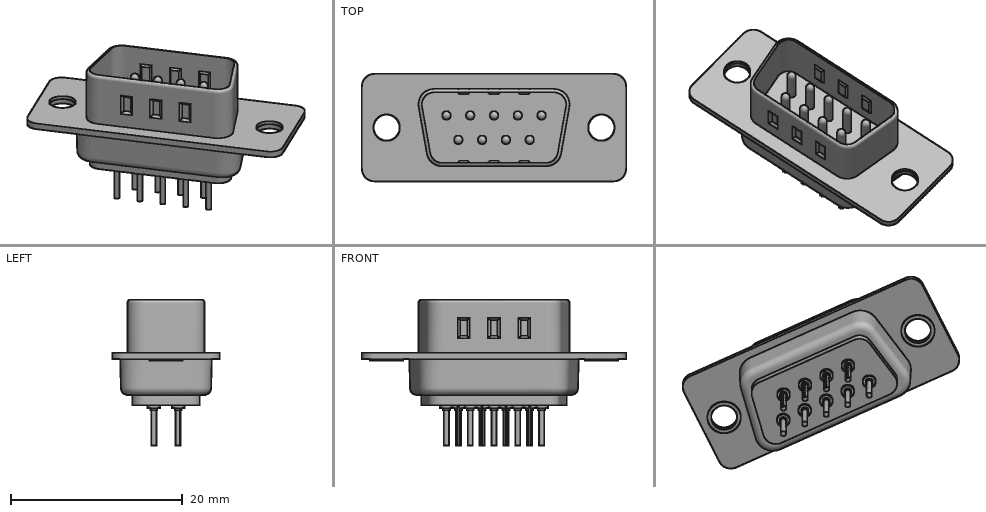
import cadquery as cq
import math

flange_thickness = 0.76
shroud_height = 6.16
rear_shell_height = 4.2
base_height = 1.18
tail_length = 4.7
base_underside = -rear_shell_height - base_height

flange_length = 30.8
flange_width = 12.55
flange_corner_radius = 1.5
mount_spacing = 25.0
upper_sheet_thickness = 0.38
upper_hole_diameter = 3.1
lower_hole_diameter = 3.0
mount_ring_diameter = 3.9
mount_ring_height = 0.2

side_angle = math.radians(10)
shroud_width = 17.6
shroud_depth = 9.0
shroud_corner_radius = 1.8
shroud_wall = 0.4
rim_radius = 0.38

rear_shell_width = 19.76
rear_shell_depth = 10.7
rear_shell_corner_radius = 2.2
rear_shell_draft = 1.4
rear_shell_edge_radius = 0.85

base_width = 16.98
base_depth = 7.9
base_corner_radius = 1.5

dimple_count = 3
dimple_spacing = 3.53
dimple_width = 1.4
dimple_height = 2.4
dimple_center = 2.85
dimple_depth = 0.3
dimple_taper = 45
dimple_bump = 0.22

back_row_count = 5
front_row_count = 4
contact_pitch = 2.77
row_spacing = 2.84
pin_diameter = 1.0
pin_height = 4.05
collar_diameter = 1.5
collar_height = 0.33
neck_diameter = 0.86
neck_height = 0.25
tail_diameter = 0.63
tail_groove_width = 0.2
tail_groove_depth = 0.15
tail_groove_rise = 0.25


def d_outline(plane_z, width, depth, radius):
    """Sketch a rounded trapezoid, wider at +Y, on a horizontal plane."""
    arc_center_x = width / 2 - radius
    wide_half = arc_center_x + radius * math.tan(math.pi / 4 + side_angle / 2)
    narrow_half = wide_half - depth * math.tan(side_angle)
    corners = [
        (-wide_half, depth / 2),
        (wide_half, depth / 2),
        (narrow_half, -depth / 2),
        (-narrow_half, -depth / 2),
    ]
    outline = cq.Sketch().polygon(corners + corners[:1]).vertices().fillet(radius)
    return cq.Workplane("XY").workplane(offset=plane_z).placeSketch(outline)


def centered_positions(count, pitch):
    return [(i - (count - 1) / 2) * pitch for i in range(count)]


def vertical_cylinder(x, y, bottom, height, diameter):
    return cq.Workplane("XY", origin=(x, y, bottom)).circle(diameter / 2).extrude(height)


def make_flange():
    flange = (
        cq.Workplane("XY")
        .rect(flange_length, flange_width)
        .extrude(flange_thickness)
        .edges("|Z")
        .fillet(flange_corner_radius)
    )
    for x in centered_positions(2, mount_spacing):
        ring = vertical_cylinder(x, 0, -mount_ring_height, mount_ring_height, mount_ring_diameter)
        flange = flange.union(ring)
    return flange


def cut_mounting_holes(body):
    sheet_bottom = flange_thickness - upper_sheet_thickness
    for x in centered_positions(2, mount_spacing):
        lower = vertical_cylinder(
            x, 0, -mount_ring_height, mount_ring_height + flange_thickness, lower_hole_diameter
        )
        upper = vertical_cylinder(x, 0, sheet_bottom, upper_sheet_thickness, upper_hole_diameter)
        body = body.cut(lower).cut(upper)
    return body


def make_shroud():
    outer = d_outline(flange_thickness, shroud_width, shroud_depth, shroud_corner_radius)
    outer = outer.extrude(shroud_height).faces(">Z").edges().fillet(rim_radius)
    cavity = d_outline(
        flange_thickness,
        shroud_width - 2 * shroud_wall,
        shroud_depth - 2 * shroud_wall,
        shroud_corner_radius - shroud_wall,
    ).extrude(shroud_height)
    return outer.cut(cavity)


def tapered_block(x, wall_y, inward, width, height, depth, taper):
    """Make a block on a long wall that shrinks as it goes in towards the middle."""
    plane = cq.Plane(
        origin=(x, wall_y, flange_thickness + dimple_center),
        xDir=(1, 0, 0),
        normal=(0, inward, 0),
    )
    return cq.Workplane(plane).rect(width, height).extrude(depth, taper=taper)


def press_dimples(body):
    for inward in (-1, 1):
        outer_y = -inward * shroud_depth / 2
        inner_y = outer_y + inward * shroud_wall
        for x in centered_positions(dimple_count, dimple_spacing):
            bump = tapered_block(
                x, inner_y, inward, dimple_width, dimple_height, dimple_bump, dimple_taper
            )
            pocket = tapered_block(
                x, outer_y, inward, dimple_width, dimple_height, dimple_depth, dimple_taper
            )
            body = body.union(bump).cut(pocket)
    return body


def make_rear_shell():
    shell = d_outline(0, rear_shell_width, rear_shell_depth, rear_shell_corner_radius)
    shell = shell.extrude(-rear_shell_height, taper=rear_shell_draft)
    return shell.faces("<Z").edges().fillet(rear_shell_edge_radius)


def make_base():
    base = d_outline(base_underside, base_width, base_depth, base_corner_radius)
    return base.extrude(base_height)


def make_contact(x, y):
    dome_radius = pin_diameter / 2
    pin = vertical_cylinder(x, y, flange_thickness, pin_height - dome_radius, pin_diameter)
    dome_center_z = flange_thickness + pin_height - dome_radius
    dome = cq.Workplane("XY", origin=(x, y, dome_center_z)).sphere(dome_radius)
    collar = vertical_cylinder(x, y, base_underside, -collar_height, collar_diameter)
    neck = vertical_cylinder(x, y, base_underside, -collar_height - neck_height, neck_diameter)
    tail = vertical_cylinder(x, y, base_underside, -tail_length, tail_diameter)
    return [pin, dome, collar, neck, tail]


def make_tail_groove(x, y):
    """Make the narrow round-topped slot along the -Y side of a tail."""
    groove_top = base_underside - collar_height + tail_groove_rise
    arc_center_z = groove_top - tail_groove_width / 2
    floor_y = y - tail_diameter / 2 + tail_groove_depth
    tail_end = base_underside - tail_length
    half_width = tail_groove_width / 2
    return (
        cq.Workplane("XZ", origin=(x, floor_y, 0))
        .moveTo(-half_width, tail_end)
        .lineTo(-half_width, arc_center_z)
        .threePointArc((0, groove_top), (half_width, arc_center_z))
        .lineTo(half_width, tail_end)
        .close()
        .extrude(collar_diameter)
    )


def add_contacts(body):
    for x in centered_positions(back_row_count, contact_pitch):
        for piece in make_contact(x, row_spacing / 2):
            body = body.union(piece)
    for x in centered_positions(front_row_count, contact_pitch):
        for piece in make_contact(x, -row_spacing / 2):
            body = body.union(piece)
        body = body.cut(make_tail_groove(x, -row_spacing / 2))
    return body


result = make_flange().union(make_rear_shell()).union(make_base())
result = cut_mounting_holes(result)
result = press_dimples(result.union(make_shroud()))
result = add_contacts(result)